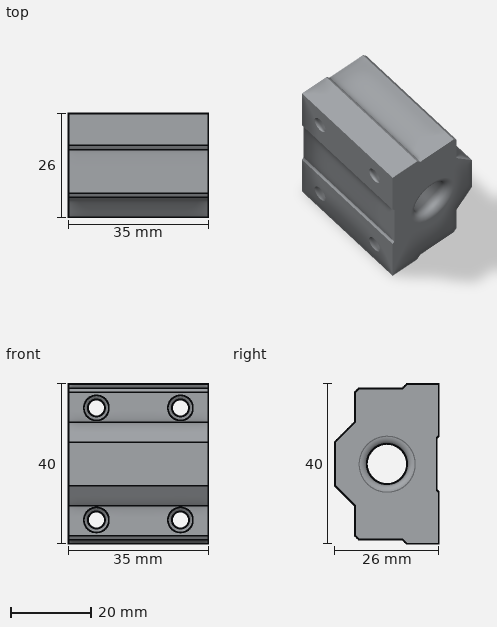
import cadquery as cq

length = 35.0
depth = 26.0
height = 40.0
back = depth / 2
front = -depth / 2
half_height = height / 2

back_band = 8.0
side_step = 1.1
flange_depth = 21.0
edge_chamfer = 1.0
nose_half_width = 5.5
nose_slope = depth - flange_depth
relief_half_width = 6.5
relief_depth = 0.5

bore_diameter = 10.0
mouth_radius = 2.0

hole_diameter = 4.2
countersink_diameter = 6.3
countersink_angle = 90
hole_spacing_x = 21.0
hole_spacing_z = 28.0


def block():
    """Profile in the YZ plane, symmetric about Z = 0, extruded along X."""
    flange_face = back - flange_depth
    flange_half_height = half_height - side_step
    upper = [
        (back - relief_depth, relief_half_width),
        (back, relief_half_width + relief_depth),
        (back, half_height),
        (back - back_band, half_height),
        (back - back_band - side_step, flange_half_height),
        (flange_face + edge_chamfer, flange_half_height),
        (flange_face, flange_half_height - edge_chamfer),
        (flange_face, nose_half_width + nose_slope),
        (front, nose_half_width),
    ]
    lower = [(y, -z) for y, z in reversed(upper)]
    profile = cq.Workplane("YZ").polyline(upper + lower).close()
    return profile.extrude(length / 2, both=True)


def cut_bore(body):
    """Shaft bore along X, rounded where it meets both end faces."""
    bored = body.faces("<X").workplane(origin=(0, 0, 0)).hole(bore_diameter)
    mouths = bored.edges("%CIRCLE").edges("<X or >X")
    return mouths.fillet(mouth_radius)


def cut_mounting_holes(body):
    """Four countersunk holes along Y, opening on the flange faces."""
    flange_plane = cq.Workplane("XZ", origin=(0, back - flange_depth, 0))
    points = flange_plane.rarray(hole_spacing_x, hole_spacing_z, 2, 2).vals()
    face = body.copyWorkplane(flange_plane).newObject(points)
    return face.cskHole(hole_diameter, countersink_diameter, countersink_angle)


result = cut_mounting_holes(cut_bore(block()))